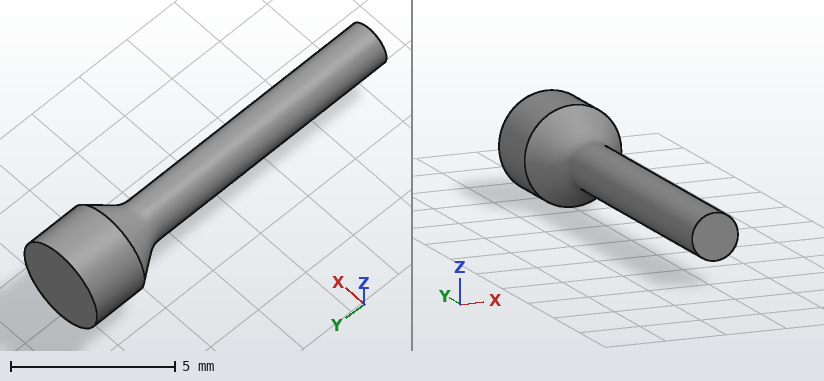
import cadquery as cq
import math

total_length = 13.0
head_diameter = 3.21
head_length = 2.0
shank_diameter = 1.52
neck_radius = 1.0
cone_half_angle = math.radians(35.5)

head_radius = head_diameter / 2
shank_radius = shank_diameter / 2
cone_start = total_length - head_length

cone_small_radius = shank_radius + neck_radius * (1 - math.cos(cone_half_angle))
cone_length = (head_radius - cone_small_radius) / math.tan(cone_half_angle)
cone_end = cone_start - cone_length
neck_start = cone_end - neck_radius * math.sin(cone_half_angle)
neck_middle = (
    shank_radius + neck_radius * (1 - math.cos(cone_half_angle / 2)),
    neck_start + neck_radius * math.sin(cone_half_angle / 2),
)

result = (
    cq.Workplane("XY")
    .moveTo(0, 0)
    .lineTo(shank_radius, 0)
    .lineTo(shank_radius, neck_start)
    .threePointArc(neck_middle, (cone_small_radius, cone_end))
    .lineTo(head_radius, cone_start)
    .lineTo(head_radius, total_length)
    .lineTo(0, total_length)
    .close()
    .revolve(360, (0, 0, 0), (0, 1, 0))
)